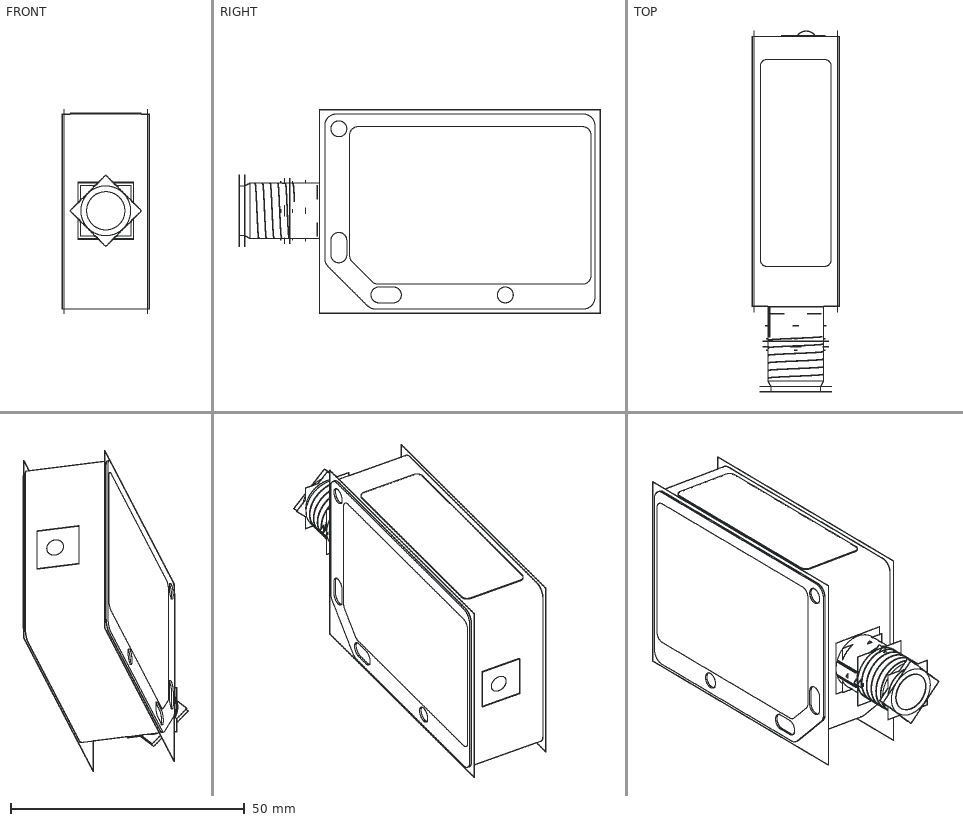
import cadquery as cq
import math

housing_width = 18.7
housing_length = 57.85
housing_height = 41.8
corner_radius = 2.5
corner_cut = 9.8
sheet = 0.1

rim_depth = 0.4
side_plate_overhang_y = 1.15
side_plate_overhang_z = 0.9

mount_inset = 3.0
mount_diameter = 3.4
slot_length = 6.5
slot_position = 13.15
rear_hole_y = 38.7
upper_hole_z = 38.6

side_label_y = (5.3, 57.0)
side_label_z = (5.3, 39.1)
side_label_cut = 5.3
side_label_radius = 1.8

top_label_width = 15.15
top_label_y = (8.6, 52.9)
top_label_radius = 1.4
top_label_thickness = 0.2

window_size = 9.3
window_x = 1.6
window_thickness = 0.2
button_x = 2.25
button_radius = 1.85

connector_length = 18.3
connector_radius = 5.95
connector_z = 21.05
nose_radius = 5.3
nose_length = 1.15
taper_length = 1.15
socket_radius = 4.1
socket_depth = 0.15
key_groove_z = 1.8
key_groove_width = 0.4
key_groove_depth = 0.15
thread_start = 6.5
thread_pitch = 1.6
thread_turns = 5.6
thread_depth = 0.115
thread_start_angle = -20

base_plate_width = 11.9
base_plate_height = 12.4
square_plates = [(1.55, 10.75), (7.4, 11.9), (17.1, 10.8)]
diamond_plates = [(4.1, 6.5), (6.9, 6.3), (7.4, 7.0), (8.6, 7.0), (9.35, 6.3), (17.1, 7.65),
                  (connector_length - sheet, 7.65)]

half_width = housing_width / 2
recess_floor_x = half_width - rim_depth
nose_start = connector_length - nose_length
taper_start = nose_start - taper_length


def bevelled_block(y_range, z_range, cut, radius, x_start, x_end):
    """Plate across X with a bevelled lower front corner and rounded corners."""
    y_front, y_back = y_range
    z_low, z_high = z_range
    return (
        cq.Workplane("YZ", origin=(x_start, 0, 0))
        .moveTo(y_front + cut, z_low)
        .lineTo(y_back, z_low)
        .lineTo(y_back, z_high)
        .lineTo(y_front, z_high)
        .lineTo(y_front, z_low + cut)
        .close()
        .extrude(x_end - x_start)
        .edges("|X")
        .fillet(radius)
    )


def side_span(side):
    """X limits of the shallow recess layer on one side (-1 or +1)."""
    return sorted((side * recess_floor_x, side * half_width))


def make_side_label(side):
    """Label that fills the large recess flush with one side face."""
    return bevelled_block(side_label_y, side_label_z, side_label_cut, side_label_radius, *side_span(side))


def mounting_recesses(side):
    """Two round and two slotted shallow recesses in one side face."""
    x_start, _ = side_span(side)
    plane = cq.Workplane("YZ", origin=(x_start, 0, 0))
    holes = (
        plane.pushPoints([(mount_inset, upper_hole_z), (rear_hole_y, mount_inset)])
        .circle(mount_diameter / 2)
        .extrude(rim_depth)
    )
    upright_slot = (
        plane.center(mount_inset, slot_position).slot2D(slot_length, mount_diameter, 90).extrude(rim_depth)
    )
    level_slot = (
        plane.center(slot_position, mount_inset).slot2D(slot_length, mount_diameter).extrude(rim_depth)
    )
    return holes.union(upright_slot).union(level_slot)


def side_plate(side):
    """Thin rectangular plate that stands out around the housing near one side."""
    return cq.Workplane("XY").box(
        sheet,
        housing_length + 2 * side_plate_overhang_y,
        housing_height + 2 * side_plate_overhang_z,
    ).translate((side * (recess_floor_x - sheet / 2), housing_length / 2, housing_height / 2))


def make_housing(side_labels):
    """Housing block with side plates, mounting recesses and label recesses."""
    body = bevelled_block(
        (0, housing_length), (0, housing_height), corner_cut, corner_radius, -half_width, half_width
    )
    for side in (-1, 1):
        body = body.union(side_plate(side)).cut(mounting_recesses(side))
    for label in side_labels:
        body = body.cut(label)
    return body


def make_top_label():
    """Rounded label lying on the top face."""
    y_front, y_back = top_label_y
    return (
        cq.Workplane("XY", origin=(0, (y_front + y_back) / 2, housing_height))
        .rect(top_label_width, y_back - y_front)
        .extrude(top_label_thickness)
        .edges("|Z")
        .fillet(top_label_radius)
    )


def make_window():
    """Thin square window on the back face."""
    return cq.Workplane("XY").box(window_size, window_thickness, window_size).translate(
        (window_x, housing_length + window_thickness / 2, housing_height / 2)
    )


def make_button():
    """Domed button on the window, level with the back edges of the side plates."""
    base_y = housing_length + window_thickness
    rise = side_plate_overhang_y - window_thickness
    sphere_radius = (button_radius**2 + rise**2) / (2 * rise)
    mid_angle = math.atan(rise / button_radius)
    mid_point = (
        sphere_radius * math.sin(mid_angle),
        sphere_radius * (math.cos(mid_angle) - 1) + rise,
    )
    return (
        cq.Workplane("XY")
        .moveTo(0, 0)
        .lineTo(button_radius, 0)
        .threePointArc(mid_point, (0, rise))
        .close()
        .revolve(360, (0, 0, 0), (0, 1, 0))
        .translate((button_x, base_y, housing_height / 2))
    )


def connector_plane(distance):
    """Plane facing -Y on the connector axis, at a distance from the housing face."""
    return cq.Workplane("XZ", origin=(0, -distance, connector_z))


def thread_groove():
    """Right-hand V groove that winds along the front of the connector barrel."""
    path = cq.Wire.makeHelix(thread_pitch, thread_pitch * thread_turns, connector_radius)
    groove = (
        cq.Workplane("XZ")
        .polyline([
            (connector_radius - thread_depth, 0),
            (connector_radius + thread_depth, -thread_depth),
            (connector_radius + thread_depth, thread_depth),
        ])
        .close()
        .sweep(cq.Workplane(path), isFrenet=True)
    )
    return groove.rotate((0, 0, 0), (1, 0, 0), 90).rotate((0, 0, 0), (0, 1, 0), thread_start_angle).translate(
        (0, -thread_start, connector_z)
    )


def key_groove(height):
    """Shallow lengthwise groove in the -X side of the plain part of the barrel."""
    floor_x = math.sqrt(connector_radius**2 - height**2) - key_groove_depth
    return cq.Workplane("XY").box(
        connector_radius, thread_start, key_groove_width, centered=(False, False, True)
    ).translate((-floor_x - connector_radius, -thread_start, connector_z + height))


def make_connector():
    """Threaded round connector with a tapered nose, socket, key grooves and thin square plates."""
    barrel = (
        cq.Workplane("XY")
        .polyline([
            (0, 0),
            (connector_radius, 0),
            (connector_radius, -taper_start),
            (nose_radius, -nose_start),
            (nose_radius, -connector_length),
            (0, -connector_length),
        ])
        .close()
        .revolve(360, (0, 0, 0), (0, 1, 0))
        .translate((0, 0, connector_z))
    )
    barrel = barrel.cut(thread_groove())
    for side in (-1, 1):
        barrel = barrel.cut(key_groove(side * key_groove_z))

    barrel = barrel.union(connector_plane(0).rect(base_plate_width, base_plate_height).extrude(sheet))
    for distance, side in square_plates:
        barrel = barrel.union(connector_plane(distance).rect(side, side).extrude(sheet))
    for distance, half_diagonal in diamond_plates:
        diamond = connector_plane(distance).polygon(4, 2 * half_diagonal).extrude(sheet)
        barrel = barrel.union(diamond)
    socket = connector_plane(connector_length - socket_depth).circle(socket_radius).extrude(socket_depth)
    return barrel.cut(socket)


side_labels = [make_side_label(side) for side in (-1, 1)]
housing = make_housing(side_labels)
top_label = make_top_label()
window = make_window()
button = make_button()
connector = make_connector()

result = cq.Compound.makeCompound([
    housing.val(),
    *[label.val() for label in side_labels],
    top_label.val(),
    window.val(),
    button.val(),
    connector.val(),
])